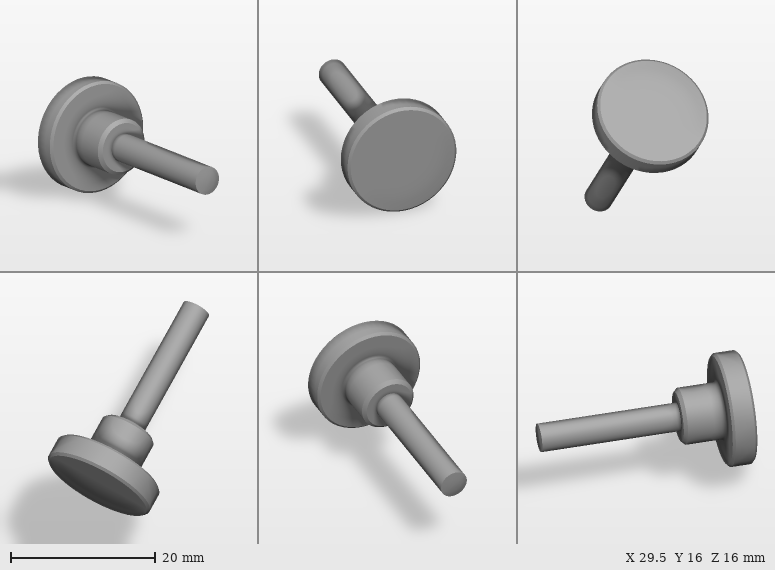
import cadquery as cq

total_length = 29.5
head_diameter = 16.0
head_thickness = 3.5
head_chamfer = 0.35
hub_diameter = 8.02
hub_end = 9.5
hub_chamfer = 0.5
neck_fillet = 0.35
shaft_diameter = 4.0
dome_height = 0.18

head_radius = head_diameter / 2
hub_radius = hub_diameter / 2
shaft_radius = shaft_diameter / 2


def chamfered_head():
    """Round head with both rims chamfered, its outer face at X = 0."""
    head = cq.Workplane("YZ").circle(head_radius).extrude(head_thickness)
    return head.edges().chamfer(head_chamfer)


def chamfered_hub():
    """Hub running through the head, chamfered at its far end."""
    hub = cq.Workplane("YZ").workplane(offset=head_thickness / 2).circle(hub_radius)
    hub = hub.extrude(hub_end - head_thickness / 2)
    return hub.faces(">X").edges().chamfer(hub_chamfer)


def neck_ring():
    """Concave fillet where the hub meets the head."""
    flare_radius = hub_radius + neck_fillet
    neck_end = head_thickness + neck_fillet
    arc_offset = neck_fillet * (1 - 0.5**0.5)
    profile = (
        cq.Workplane("XY")
        .moveTo(head_thickness, 0)
        .lineTo(head_thickness, flare_radius)
        .threePointArc(
            (head_thickness + arc_offset, hub_radius + arc_offset),
            (neck_end, hub_radius),
        )
        .lineTo(neck_end, 0)
        .close()
    )
    return profile.revolve(360, (0, 0, 0), (1, 0, 0))


def domed_shaft():
    """Plain shaft ending in a shallow spherical dome."""
    dome_start = total_length - dome_height
    dome_radius = (shaft_radius**2 + dome_height**2) / (2 * dome_height)
    profile = (
        cq.Workplane("XY")
        .moveTo(head_thickness, 0)
        .lineTo(head_thickness, shaft_radius)
        .lineTo(dome_start, shaft_radius)
        .radiusArc((total_length, 0), dome_radius)
        .close()
    )
    return profile.revolve(360, (0, 0, 0), (1, 0, 0))


result = chamfered_head().union(chamfered_hub()).union(neck_ring()).union(domed_shaft())